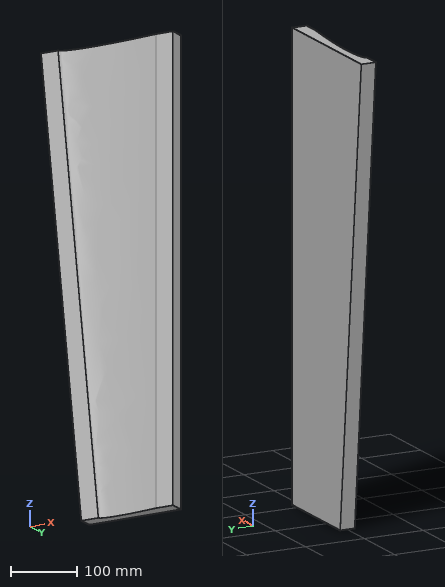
import cadquery as cq
import math

height = 750.0
depth = 25.0
top_width = 230.2
bottom_width = 160.0
margin = 30.0

top_thickness_ratio = 0.106
bottom_thickness_ratio = 0.121
stations = 16

airfoil_scale = 5.0
root_coefficient = 0.2969
power_coefficients = [-0.1260, -0.3516, 0.2843, -0.1036]

trailing_x = top_width - margin


def half_thickness(fraction, thickness_ratio):
    """Airfoil half thickness per unit chord, at a fraction of the chord from the nose."""
    shape = root_coefficient * math.sqrt(fraction)
    for power, coefficient in enumerate(power_coefficients, start=1):
        shape += coefficient * fraction**power
    return airfoil_scale * thickness_ratio * shape


def airfoil_wire(block_width, thickness_ratio, z):
    """Recess section at height z: airfoil curve from nose to tail, closed by the chord."""
    chord = block_width - 2 * margin
    nose_x = trailing_x - chord
    points = []
    for i in range(stations + 1):
        fraction = (1 - math.cos(math.pi * i / stations)) / 2
        recess_depth = chord * half_thickness(fraction, thickness_ratio)
        points.append(cq.Vector(nose_x + chord * fraction, recess_depth, z))
    curve = cq.Edge.makeSpline(points)
    chord_line = cq.Edge.makeLine(points[-1], points[0])
    return cq.Wire.assembleEdges([curve, chord_line])


def make_block():
    """Tapered plate with its front face on Y = 0."""
    return (
        cq.Workplane("XZ")
        .moveTo(top_width - bottom_width, 0)
        .lineTo(top_width, 0)
        .lineTo(top_width, height)
        .lineTo(0, height)
        .close()
        .extrude(-depth)
    )


def make_recess():
    """Straight-ruled wing half between the bottom and top sections."""
    sections = [
        airfoil_wire(bottom_width, bottom_thickness_ratio, 0),
        airfoil_wire(top_width, top_thickness_ratio, height),
    ]
    return cq.Solid.makeLoft(sections, True)


result = make_block().cut(cq.Workplane(obj=make_recess()))